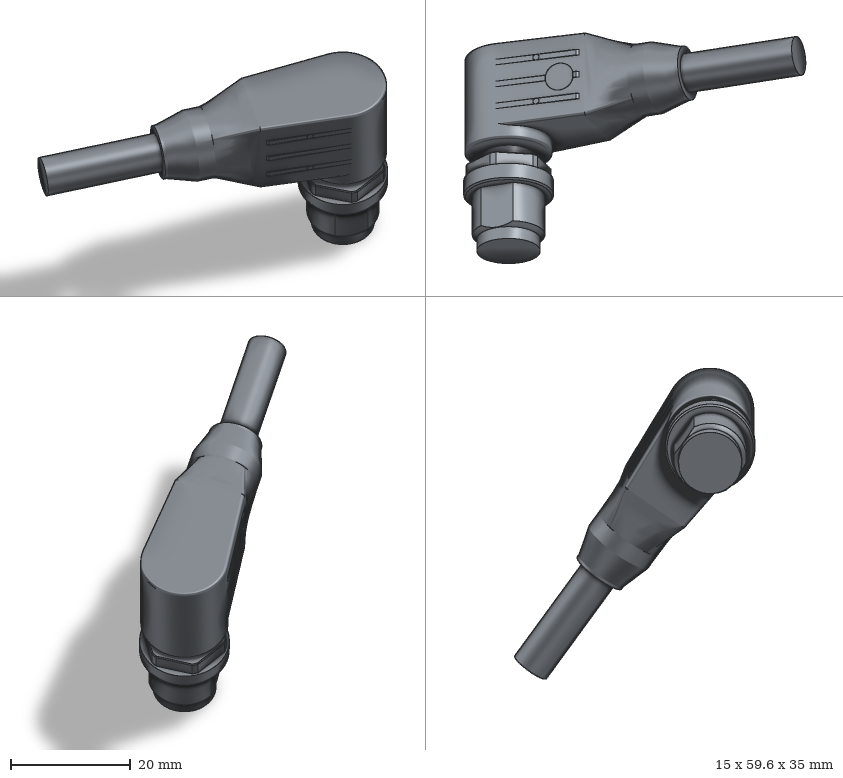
import cadquery as cq
import math


flange_radius = 7.5
total_length = 59.6
bottom_z = -27.4
cable_end_y = flange_radius - total_length

head_radius = 7.35
head_bottom_z = -9.95
arm_top_z = 7.55
arm_root_z = -7.7
arm_end_z = -7.45
arm_end_y = -16.0
taper_angle = math.radians(4.7)
edge_radius = 0.55

rib_angle = math.radians(3.8)
rib_end_y = -15.0
rib_ramp_length = 0.4
rib_width = 1.0
rib_pitch = 4.0
dimple_y = -7.55
dimple_radius = 0.55
dimple_depth = 0.05

recess_y = -11.55
recess_radius = 2.45
recess_depth = 0.05

relief_radius = 6.1
relief_start_y = -23.65
relief_cone_y = -26.6
relief_tip_radius = 4.6
relief_tip_y = -31.6
relief_end_y = -32.1
cable_radius = 3.3
corner_angle = 51.5
corner_spread = 1.0

neck_radius = 4.25
hex_top_z = -12.15
hex_across_flats = 12.9
hex_corner_radius = 7.15
hex_top_chamfer = 0.2
flange_top_z = -14.65
flange_bottom_z = -17.5
flange_chamfer = 0.3
barrel_radius = 6.1
barrel_half_width = 5.35
barrel_bottom_z = -25.3
nose_radius = 5.3

tangent_x = head_radius * math.cos(taper_angle)
tangent_y = -head_radius * math.sin(taper_angle)


def side_x(y, angle=taper_angle):
    """Distance from the middle plane, at depth y, of a side leaving the head at the given angle."""
    return tangent_x - (tangent_y - y) * math.tan(angle)


def disc(radius, z_top, z_bottom):
    """Solid cylinder on the coupling axis."""
    return cq.Workplane("XY").workplane(offset=z_bottom).circle(radius).extrude(z_top - z_bottom)


def make_housing():
    head = disc(head_radius, arm_top_z - edge_radius, head_bottom_z).faces("<Z").edges().fillet(edge_radius)
    end_x = side_x(arm_end_y)
    outline = (
        cq.Workplane("XY")
        .workplane(offset=head_bottom_z)
        .moveTo(-end_x, arm_end_y)
        .lineTo(-tangent_x, tangent_y)
        .threePointArc((0, head_radius), (tangent_x, tangent_y))
        .lineTo(end_x, arm_end_y)
        .close()
        .extrude(arm_top_z - head_bottom_z)
    )
    underside_slope = (arm_end_z - arm_root_z) / (arm_end_y - tangent_y)
    back_z = arm_root_z + underside_slope * (head_radius - tangent_y)
    side_profile = [
        (arm_end_y, arm_end_z),
        (head_radius, back_z),
        (head_radius, arm_top_z),
        (arm_end_y, arm_top_z),
    ]
    arm = outline.intersect(cq.Workplane("YZ").polyline(side_profile).close().extrude(head_radius, both=True))
    round_edges = arm.faces("<Z or >Z").edges("not <Y")
    return head.union(round_edges.fillet(edge_radius))


def make_ribs(side):
    """Three wedge ribs, flush with the head at one end and ramped down at the other."""
    ramp_y = rib_end_y + rib_ramp_length
    root = tangent_x / 2
    profile = [
        (side * root, tangent_y),
        (side * tangent_x, tangent_y),
        (side * side_x(ramp_y, rib_angle), ramp_y),
        (side * side_x(rib_end_y), rib_end_y),
        (side * root, rib_end_y),
    ]
    rib = cq.Workplane("XY").polyline(profile).close().extrude(rib_width / 2, both=True)
    ribs = rib
    for z in (-rib_pitch, rib_pitch):
        floor_x = side_x(dimple_y, rib_angle) - dimple_depth
        dimple = side_pocket(side, floor_x, dimple_y, z, dimple_radius, rib_angle)
        ribs = ribs.union(rib.translate((0, 0, z)).cut(dimple))
    return ribs


def side_pocket(side, floor_x, y, z, radius, angle):
    """Cutting cylinder whose flat end lies parallel to a sloping side of the arm."""
    outward = cq.Vector(side * math.cos(angle), -math.sin(angle), 0)
    return cq.Workplane(cq.Solid.makeCylinder(radius, head_radius, cq.Vector(side * floor_x, y, z), outward))


def point_on_relief(angle):
    return (relief_radius * math.cos(math.radians(angle)), relief_radius * math.sin(math.radians(angle)))


def make_transition():
    """Blend from the rounded rectangle at the end of the arm to the round strain relief."""
    half_x = side_x(arm_end_y)
    flat_x = half_x - edge_radius
    low_z = arm_end_z + edge_radius
    high_z = arm_top_z - edge_radius
    bow = edge_radius * math.sqrt(0.5)
    near = corner_angle - corner_spread
    far = corner_angle + corner_spread
    corners = [
        ((half_x, high_z), (flat_x + bow, high_z + bow), (flat_x, arm_top_z), near, far),
        ((-flat_x, arm_top_z), (-flat_x - bow, high_z + bow), (-half_x, high_z), 180 - far, 180 - near),
        ((-half_x, low_z), (-flat_x - bow, low_z - bow), (-flat_x, arm_end_z), 180 + near, 180 + far),
        ((flat_x, arm_end_z), (flat_x + bow, low_z - bow), (half_x, low_z), 360 - far, 360 - near),
    ]
    rectangle = cq.Workplane("XZ", origin=(0, arm_end_y, 0)).moveTo(half_x, low_z)
    circle = cq.Workplane("XZ", origin=(0, relief_start_y, 0)).moveTo(*point_on_relief(-near))
    last_angle = -near
    for start, middle, end, start_angle, end_angle in corners:
        rectangle = rectangle.lineTo(*start).threePointArc(middle, end)
        for angle in (start_angle, end_angle):
            circle = circle.threePointArc(point_on_relief((last_angle + angle) / 2), point_on_relief(angle))
            last_angle = angle
    sections = [rectangle.wire().val(), circle.wire().val()]
    return cq.Workplane(cq.Solid.makeLoft(sections, True))


def make_relief_and_cable():
    """Turned strain relief with the cable leaving its tip."""
    profile = [
        (0, relief_start_y),
        (relief_radius, relief_start_y),
        (relief_radius, relief_cone_y),
        (relief_tip_radius, relief_tip_y),
        (relief_tip_radius, relief_end_y),
        (cable_radius, relief_end_y),
        (cable_radius, cable_end_y),
        (0, cable_end_y),
    ]
    return cq.Workplane("XY").polyline(profile).close().revolve(360, (0, 0, 0), (0, 1, 0))


def make_coupling():
    """Neck, hexagon, flange and flatted barrel, from the head downwards."""
    neck = disc(neck_radius, head_bottom_z, hex_top_z)
    hexagon = (
        cq.Workplane("XY")
        .workplane(offset=flange_top_z)
        .polygon(6, hex_across_flats / math.cos(math.pi / 6))
        .extrude(hex_top_z - flange_top_z)
        .intersect(disc(hex_corner_radius, hex_top_z, flange_top_z))
        .faces(">Z")
        .chamfer(hex_top_chamfer)
    )
    flange = disc(flange_radius, flange_top_z, flange_bottom_z).faces("<Z").chamfer(flange_chamfer)
    flats = cq.Workplane("XY").box(2 * barrel_half_width, 2 * barrel_radius, -2 * bottom_z)
    barrel = (
        disc(barrel_radius, flange_bottom_z, barrel_bottom_z)
        .faces("<Z")
        .chamfer(barrel_radius - nose_radius)
        .intersect(flats)
    )
    nose = disc(nose_radius, barrel_bottom_z, bottom_z)
    return neck.union(hexagon).union(flange).union(barrel).union(nose)


housing = make_housing().union(make_ribs(1)).union(make_ribs(-1))
recess_floor_x = side_x(recess_y) - recess_depth
housing = housing.cut(side_pocket(-1, recess_floor_x, recess_y, 0, recess_radius, taper_angle))
result = housing.union(make_transition()).union(make_relief_and_cable()).union(make_coupling())